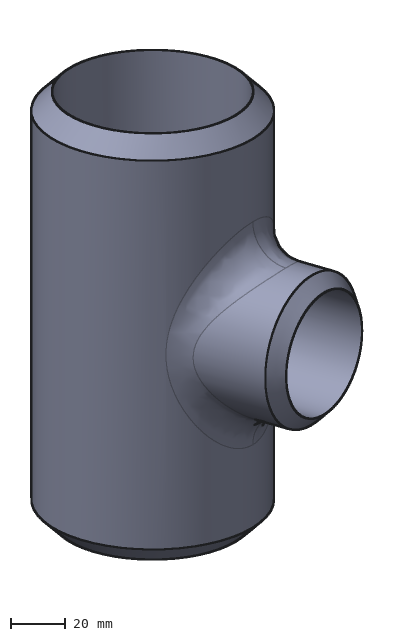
import cadquery as cq

run_length = 171.4
run_diameter = 89.0
run_wall = 7.7
run_bevel = 7.5

branch_diameter = 60.2
branch_wall = 5.7
branch_bevel = 5.5
overall_width = 120.7
branch_reach = overall_width - run_diameter / 2

crotch_radius = 14.7


def rod_along_z(diameter):
    return cq.Workplane("XY").circle(diameter / 2).extrude(run_length / 2, both=True)


def rod_along_x(diameter):
    return cq.Workplane("YZ").circle(diameter / 2).extrude(branch_reach)


run = rod_along_z(run_diameter)
branch = rod_along_x(branch_diameter)
body = run.union(branch)
crotch = body.edges("not(%CIRCLE or %LINE)")
body = crotch.fillet(crotch_radius)

body = body.faces("<Z or >Z").edges().chamfer(run_bevel)
body = body.faces(">X").edges().chamfer(branch_bevel)

run_bore = rod_along_z(run_diameter - 2 * run_wall)
branch_bore = rod_along_x(branch_diameter - 2 * branch_wall)
result = body.cut(run_bore).cut(branch_bore)